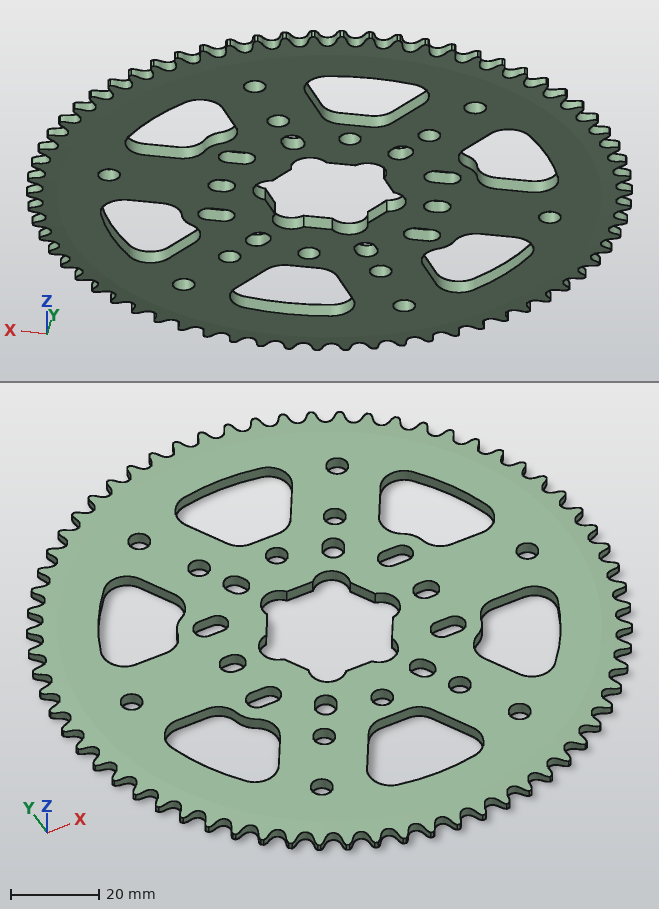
import cadquery as cq
import math

TEETH = 66
CHAIN_PITCH = 6.35
ROLLER_DIA = 3.302
SEAT_RADIUS = 0.5025 * ROLLER_DIA + 0.0381
PITCH_RADIUS = CHAIN_PITCH / (2 * math.sin(math.pi / TEETH))
TIP_RADIUS = CHAIN_PITCH * (0.6 + 1 / math.tan(math.pi / TEETH)) / 2

SEAT_END_ANGLE = 35 + 60 / TEETH
WORKING_SWEEP = 18 - 56 / TEETH
TOPPING_ANGLE = 17 - 64 / TEETH
WORKING_FACTOR = 0.8
TOPPING_FACTOR = 1.4

THICKNESS = 3.0
TIP_THICKNESS = 1.65
TAPER_START_RADIUS = 61.75
BLANK_ALLOWANCE = 1.0

INCH = 25.4
HOLE_DIA = 4.98
SMALL_CIRCLE_RADIUS = INCH
MIDDLE_CIRCLE_RADIUS = 34.82
LARGE_CIRCLE_RADIUS = 2 * INCH
SHORT_SLOT_INNER_RADIUS = 24.3
HOLE_DIRECTIONS = (0, 60, 120, 180, 240, 300)
SLOT_DIRECTION = 30

HEX_ACROSS_FLATS = 28.5
LOBE_COUNT = 6
LOBE_RADIUS = 4.3
LOBE_CENTRE_RADIUS = 13.25

SPOKE_COUNT = 6
SPOKE_HALF_WIDTH = 10.0
WINDOW_OUTER_RADIUS = 52.4
WINDOW_INNER_FLAT = 31.4
WINDOW_CORNER_RADIUS = 5.4
SLOT_WALL_RADIUS = 6.2


def polar(radius, degrees):
    angle = math.radians(degrees)
    return (radius * math.cos(angle), radius * math.sin(angle))


def offset(point, radius, degrees):
    step = polar(radius, degrees)
    return (point[0] + step[0], point[1] + step[1])


def direction(start, end):
    return math.degrees(math.atan2(end[1] - start[1], end[0] - start[0]))


def bottom_plane():
    return cq.Workplane("XY").workplane(offset=-THICKNESS / 2)


def flank_points():
    """One side of a tooth gap, from seat to tip, as standard roller-chain arcs.

    The gap is symmetric about its own local Y axis, with the wheel centre at the origin.
    """
    roller_centre = (0, PITCH_RADIUS)

    seat_bottom = offset(roller_centre, SEAT_RADIUS, -90)
    seat_end = offset(roller_centre, SEAT_RADIUS, -SEAT_END_ANGLE)

    working_shift = WORKING_FACTOR * ROLLER_DIA
    working_centre = offset(roller_centre, working_shift, 180 - SEAT_END_ANGLE)
    working_radius = working_shift + SEAT_RADIUS
    working_mid = offset(working_centre, working_radius, WORKING_SWEEP / 2 - SEAT_END_ANGLE)
    normal_angle = WORKING_SWEEP - SEAT_END_ANGLE
    line_start = offset(working_centre, working_radius, normal_angle)

    sweep = math.radians(WORKING_SWEEP)
    topping_angle = math.radians(TOPPING_ANGLE)
    topping_shift = TOPPING_FACTOR * ROLLER_DIA
    line_length = topping_shift * math.sin(topping_angle) - working_shift * math.sin(sweep)
    centre_spacing = topping_shift * math.cos(topping_angle) + working_shift * math.cos(sweep)
    topping_radius = centre_spacing - working_radius
    line_end = offset(line_start, line_length, normal_angle + 90)
    topping_centre = offset(line_end, topping_radius, normal_angle)

    centre_radius = math.hypot(*topping_centre)
    cosine = (centre_radius**2 + TIP_RADIUS**2 - topping_radius**2) / (2 * centre_radius * TIP_RADIUS)
    tip_direction = direction((0, 0), topping_centre) + math.degrees(math.acos(cosine))
    tip = polar(TIP_RADIUS, tip_direction)
    mid_angle = (normal_angle + 180 + direction(topping_centre, tip)) / 2
    topping_mid = offset(topping_centre, topping_radius, mid_angle)
    return seat_bottom, seat_end, working_mid, line_start, line_end, topping_mid, tip


def toothed_blank():
    seat_bottom, seat_end, working_mid, line_start, line_end, topping_mid, tip = flank_points()
    tooth_step = 360 / TEETH

    def turned(point, index, side):
        """Point on the given side (+1 or -1 in local X) of the numbered gap."""
        angle_from_gap = math.degrees(math.atan2(side * point[0], point[1]))
        return polar(math.hypot(*point), 90 + index * tooth_step - angle_from_gap)

    outline = bottom_plane().moveTo(*turned(tip, 0, 1))
    for gap in range(TEETH):
        outline = (
            outline.threePointArc(turned(topping_mid, gap, 1), turned(line_end, gap, 1))
            .lineTo(*turned(line_start, gap, 1))
            .threePointArc(turned(working_mid, gap, 1), turned(seat_end, gap, 1))
            .threePointArc(turned(seat_bottom, gap, 1), turned(seat_end, gap, -1))
            .threePointArc(turned(working_mid, gap, -1), turned(line_start, gap, -1))
            .lineTo(*turned(line_end, gap, -1))
            .threePointArc(turned(topping_mid, gap, -1), turned(tip, gap, -1))
        )
        tooth_middle = polar(TIP_RADIUS, 90 + (gap + 0.5) * tooth_step)
        outline = outline.threePointArc(tooth_middle, turned(tip, gap + 1, 1))
    return outline.close().extrude(THICKNESS)


def tapered_disc():
    """Flat disc whose conical edge faces reach the tip thickness at the tip circle, then run on past it."""
    taper_slope = (THICKNESS - TIP_THICKNESS) / 2 / (TIP_RADIUS - TAPER_START_RADIUS)
    blank_radius = TIP_RADIUS + BLANK_ALLOWANCE
    blank_half_edge = TIP_THICKNESS / 2 - taper_slope * BLANK_ALLOWANCE
    return (
        cq.Workplane("XZ")
        .moveTo(0, -THICKNESS / 2)
        .lineTo(TAPER_START_RADIUS, -THICKNESS / 2)
        .lineTo(blank_radius, -blank_half_edge)
        .lineTo(blank_radius, blank_half_edge)
        .lineTo(TAPER_START_RADIUS, THICKNESS / 2)
        .lineTo(0, THICKNESS / 2)
        .close()
        .revolve(360, (0, 0, 0), (0, 1, 0))
    )


def round_holes():
    centres = [polar(LARGE_CIRCLE_RADIUS, angle) for angle in HOLE_DIRECTIONS]
    centres += [polar(MIDDLE_CIRCLE_RADIUS, angle) for angle in HOLE_DIRECTIONS if angle % 180]
    centres += [polar(SMALL_CIRCLE_RADIUS, angle) for angle in (90, 270)]
    return bottom_plane().pushPoints(centres).circle(HOLE_DIA / 2).extrude(THICKNESS)


def slot(start, end):
    length = math.dist(start, end) + HOLE_DIA
    angle = direction(start, end)
    middle = ((start[0] + end[0]) / 2, (start[1] + end[1]) / 2)
    return bottom_plane().center(*middle).slot2D(length, HOLE_DIA, angle).extrude(THICKNESS)


def radial_slots():
    slots = cq.Workplane("XY")
    for angle in HOLE_DIRECTIONS:
        slots = slots.add(slot(polar(SHORT_SLOT_INNER_RADIUS, angle), polar(SMALL_CIRCLE_RADIUS, angle)))
    return slots.combine()


def straight_slots():
    """Four slots along X, starting on the small bolt circle and ending in line with its edge."""
    inner_x, height = polar(SMALL_CIRCLE_RADIUS, SLOT_DIRECTION)
    slots = cq.Workplane("XY")
    for side_x in (-1, 1):
        for side_y in (-1, 1):
            start = (side_x * inner_x, side_y * height)
            end = (side_x * SMALL_CIRCLE_RADIUS, side_y * height)
            slots = slots.add(slot(start, end))
    return slots.combine()


def lobed_bore():
    hex_across_corners = HEX_ACROSS_FLATS / math.cos(math.pi / LOBE_COUNT)
    hexagon = bottom_plane().polygon(LOBE_COUNT, hex_across_corners).extrude(THICKNESS)
    lobes = (
        bottom_plane()
        .polarArray(LOBE_CENTRE_RADIUS, 0, 360, LOBE_COUNT)
        .circle(LOBE_RADIUS)
        .extrude(THICKNESS)
    )
    return hexagon.union(lobes)


def window_sector():
    """Sharp window between two spokes, centred on +X."""
    half_pitch = 180 / SPOKE_COUNT
    corner = (SPOKE_HALF_WIDTH / math.sin(math.radians(half_pitch)), 0)
    side_reach = math.sqrt(WINDOW_OUTER_RADIUS**2 - SPOKE_HALF_WIDTH**2)
    half_angle = half_pitch - math.degrees(math.atan2(SPOKE_HALF_WIDTH, side_reach))
    return (
        bottom_plane()
        .moveTo(*corner)
        .lineTo(*polar(WINDOW_OUTER_RADIUS, -half_angle))
        .threePointArc((WINDOW_OUTER_RADIUS, 0), polar(WINDOW_OUTER_RADIUS, half_angle))
        .close()
        .extrude(THICKNESS)
    )


def flat_window():
    """Window whose inner end is a straight edge, centred on +Y."""
    inner_block = bottom_plane().rect(2 * WINDOW_INNER_FLAT, 2 * WINDOW_OUTER_RADIUS).extrude(THICKNESS)
    window = window_sector().cut(inner_block)
    return window.edges("|Z").fillet(WINDOW_CORNER_RADIUS).rotate((0, 0, 0), (0, 0, 1), 90)


def slot_window():
    """Window whose inner end curves around a straight slot, in the +X +Y quadrant."""
    slot_end = (SMALL_CIRCLE_RADIUS, polar(SMALL_CIRCLE_RADIUS, SLOT_DIRECTION)[1])
    slot_wall = bottom_plane().center(*slot_end).circle(SLOT_WALL_RADIUS).extrude(THICKNESS)
    window = window_sector().rotate((0, 0, 0), (0, 0, 1), SLOT_DIRECTION).cut(slot_wall)
    outer_part = max(window.solids().vals(), key=lambda solid: solid.Volume())
    return cq.Workplane(outer_part).edges("|Z").fillet(WINDOW_CORNER_RADIUS)


def windows():
    top = flat_window()
    quadrant = slot_window()
    right_pair = quadrant.union(quadrant.mirror("XZ"))
    sides = right_pair.union(right_pair.mirror("YZ"))
    return sides.union(top).union(top.mirror("XZ"))


plate = tapered_disc()
for cutter in (round_holes(), radial_slots(), straight_slots(), lobed_bore(), windows()):
    plate = plate.cut(cutter)

result = plate.intersect(toothed_blank())